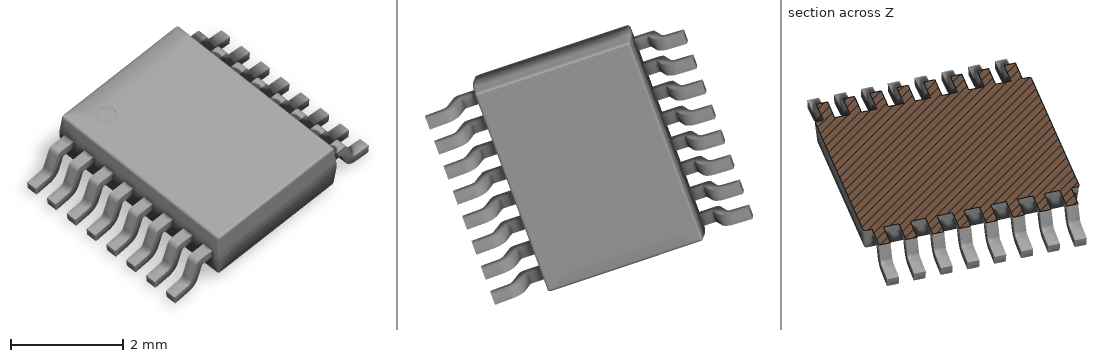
import cadquery as cq
import math

body_length = 4.035
body_width = 3.0
lead_span = 4.9
top_z = 1.1
standoff = 0.075

draft_angle = 5.0
edge_radius = 0.05

leads_per_side = 8
lead_pitch = 0.5
lead_width = 0.22
lead_thickness = 0.18
lead_top_z = 0.688
lead_bottom_z = lead_top_z - lead_thickness
leg_angle = 70.0
foot_angle = 5.5
shoulder_y = 1.88
shoulder_radius = 0.1
heel_inner_radius = 0.11
heel_outer_radius = heel_inner_radius + lead_thickness
lead_embed = 0.2

mark_diameter = 0.4
mark_inset = 0.6
mark_depth = 0.005


def drafted_half(height):
    """Half of the body standing on z = 0, narrowing upward, with rounded corners and top rim."""
    half = cq.Workplane("XY").rect(body_length, body_width).extrude(height, taper=draft_angle)
    half = half.edges("not(|X or |Y)").fillet(edge_radius)
    return half.faces(">Z").edges().fillet(edge_radius)


def make_body():
    upper = drafted_half(top_z - lead_top_z).translate((0, 0, lead_top_z))
    lower = drafted_half(lead_bottom_z - standoff).mirror("XY").translate((0, 0, lead_bottom_z))
    band = upper.faces("<Z").wires().toPending().extrude(-lead_thickness, combine=False)
    return upper.union(band).union(lower)


def below_corner(corner, angle_in, angle_out):
    """Lower-surface corner opposite an upper-surface corner, between two downward slopes in degrees."""
    bisector = math.radians((angle_in + angle_out) / 2)
    half_turn = math.radians((angle_out - angle_in) / 2)
    reach = lead_thickness / math.cos(half_turn)
    return corner[0] - reach * math.sin(bisector), corner[1] - reach * math.cos(bisector)


def make_lead():
    """One lead centred on x = 0, pointing toward +Y."""
    leg_slope = math.tan(math.radians(leg_angle))
    foot = math.radians(foot_angle)
    foot_slope = math.tan(foot)

    root_y = body_width / 2 - lead_embed
    tip_top = (lead_span / 2, lead_thickness * math.cos(foot))
    tip_bottom = (tip_top[0] - lead_thickness * math.sin(foot), 0)
    shoulder_top = (shoulder_y, lead_top_z)
    drop_to_foot = lead_top_z - tip_top[1] - foot_slope * (tip_top[0] - shoulder_y)
    heel_y = shoulder_y + drop_to_foot / (leg_slope - foot_slope)
    heel_top = (heel_y, lead_top_z - leg_slope * (heel_y - shoulder_y))
    shoulder_bottom = below_corner(shoulder_top, 0, leg_angle)
    heel_bottom = below_corner(heel_top, leg_angle, foot_angle)

    outline = [
        (root_y, lead_top_z),
        shoulder_top,
        heel_top,
        tip_top,
        tip_bottom,
        heel_bottom,
        shoulder_bottom,
        (root_y, lead_bottom_z),
    ]
    lead = cq.Workplane("YZ").polyline(outline).close().extrude(lead_width / 2, both=True)
    bends = [
        (shoulder_top, shoulder_radius),
        (heel_top, heel_inner_radius),
        (heel_bottom, heel_outer_radius),
    ]
    for (y, z), radius in bends:
        lead = lead.edges(cq.NearestToPointSelector((0, y, z))).fillet(radius)
    return lead


def add_leads(part):
    lead = make_lead()
    opposite_lead = lead.mirror("XZ")
    first_x = -lead_pitch * (leads_per_side - 1) / 2
    for index in range(leads_per_side):
        position = (first_x + index * lead_pitch, 0, 0)
        part = part.union(lead.translate(position)).union(opposite_lead.translate(position))
    return part


def cut_pin_one_mark(part):
    mark = (
        cq.Workplane("XY")
        .workplane(offset=top_z - mark_depth)
        .center(mark_inset - body_length / 2, mark_inset - body_width / 2)
        .circle(mark_diameter / 2)
        .extrude(mark_depth)
    )
    return part.cut(mark)


result = cut_pin_one_mark(add_leads(make_body()))